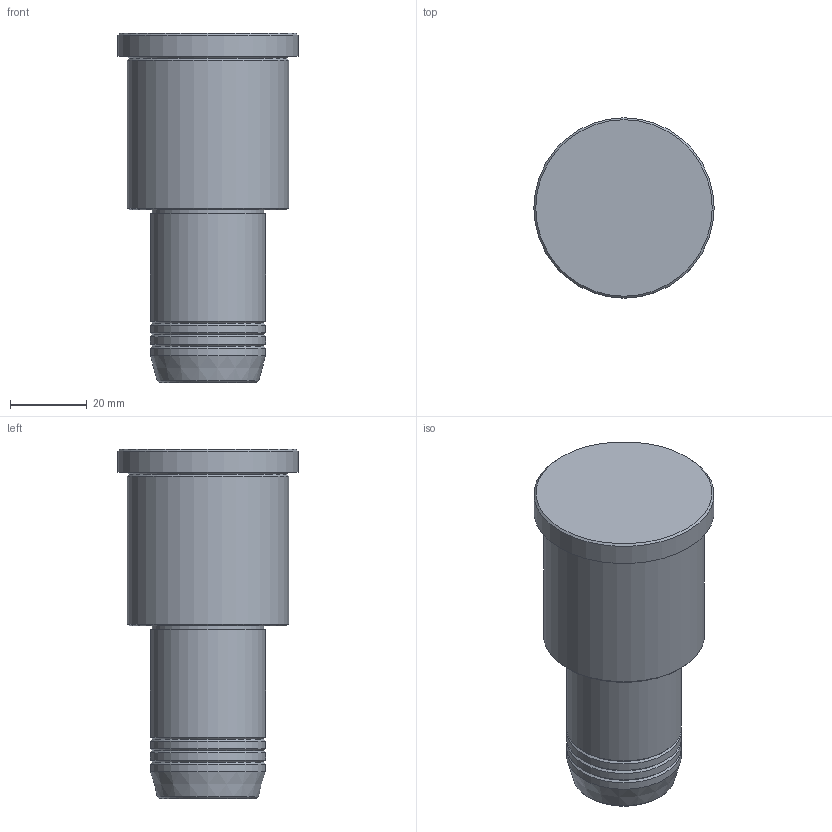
import cadquery as cq
import math

total_length = 91.0
head_height = 6.0
body_length = 40.0
tip_length = 7.0

head_radius = 47.0 / 2
body_radius = 42.0 / 2
shank_radius = 30.0 / 2

edge_chamfer = 0.5
relief_depth = 0.5
relief_width = 1.0

groove_count = 3
groove_depth = 0.5
groove_width = 2 * groove_depth
groove_pitch = 3.0

tip_angle = math.radians(15.0)

head_bottom = total_length - head_height
body_bottom = head_bottom - body_length
lowest_groove_bottom = tip_length + groove_pitch - groove_width
tip_radius = shank_radius - (tip_length - edge_chamfer) * math.tan(tip_angle)


def revolve_profile(points):
    """Revolve (radius, height) points about Z, starting from the -X half plane."""
    half_section = [(-radius, height) for radius, height in points]
    return cq.Workplane("XZ").polyline(half_section).close().revolve(360, (0, 0, 0), (0, 1, 0))


def cylinder(radius, bottom, top):
    """Solid cylinder on the Z axis between two heights."""
    return revolve_profile([(0, bottom), (radius, bottom), (radius, top), (0, top)])


def v_groove(radius, bottom):
    """Ring that cuts a V groove into a cylinder of the given radius."""
    return revolve_profile([
        (radius, bottom),
        (radius - groove_depth, bottom + groove_width / 2),
        (radius, bottom + groove_width),
    ])


def make_head():
    """Flat head with a chamfered top rim."""
    return cylinder(head_radius, head_bottom, total_length).faces(">Z").chamfer(edge_chamfer)


def make_body():
    """Fitting diameter with a chamfered lower rim and a V groove against the head."""
    body = cylinder(body_radius, body_bottom, head_bottom).faces("<Z").chamfer(edge_chamfer)
    return body.cut(v_groove(body_radius, head_bottom - groove_width))


def make_shank():
    """Shank with a narrower relief under the body and evenly spaced V grooves."""
    relief_bottom = body_bottom - relief_width
    shank = cylinder(shank_radius, tip_length, relief_bottom)
    for index in range(groove_count):
        shank = shank.cut(v_groove(shank_radius, lowest_groove_bottom + index * groove_pitch))
    return shank.union(cylinder(shank_radius - relief_depth, relief_bottom, body_bottom))


def make_tip():
    """Conical lead-in ending in a 45 degree chamfer around the end face."""
    return revolve_profile([
        (0, 0),
        (tip_radius - edge_chamfer, 0),
        (tip_radius, edge_chamfer),
        (shank_radius, tip_length),
        (0, tip_length),
    ])



result = make_head().union(make_body()).union(make_shank()).union(make_tip())